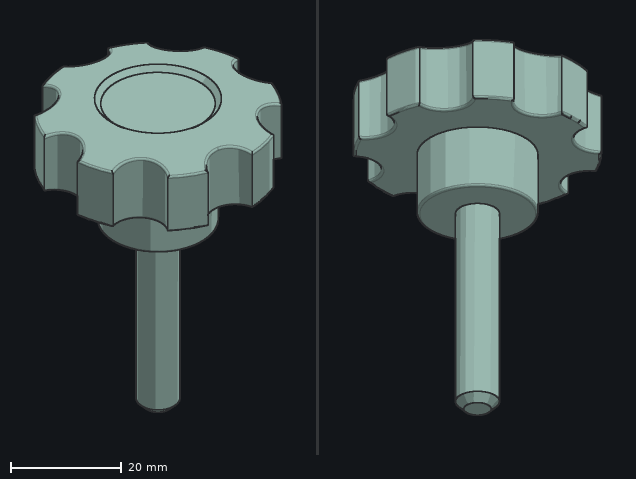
import cadquery as cq
import math

total_height = 66.2
shaft_length = 40.0
hub_length = 12.0
crown_drop = 2.3

shaft_diameter = 8.0
shaft_tip_chamfer = 1.5
hub_diameter = 22.0

head_radius = 22.5
edge_rounding = 0.45

scallop_count = 8
scallop_radius = 5.2
scallop_center_radius = 23.5

recess_rim_radius = 11.5
recess_floor_radius = 10.4
recess_depth = 1.05

head_bottom = shaft_length + hub_length
rim_height = total_height - crown_drop


def make_head():
    """Scalloped head with a domed top, rounded along its upper and lower outlines."""
    dome_center = (
        total_height**2 + recess_rim_radius**2 - rim_height**2 - head_radius**2
    ) / (2 * crown_drop)
    dome_radius = math.hypot(head_radius, rim_height - dome_center)
    apex_height = dome_center + dome_radius

    head = (
        cq.Workplane("XZ")
        .moveTo(0, head_bottom)
        .lineTo(head_radius, head_bottom)
        .lineTo(head_radius, rim_height)
        .radiusArc((0, apex_height), -dome_radius)
        .close()
        .revolve(360, (0, 0, 0), (0, 1, 0))
    )
    scallops = (
        cq.Workplane("XY", origin=(0, 0, head_bottom))
        .polarArray(scallop_center_radius, 0, 360, scallop_count)
        .circle(scallop_radius)
        .extrude(apex_height - head_bottom)
    )
    head = head.cut(scallops)
    return head.faces("<Z or >Z").edges().fillet(edge_rounding)


def make_recess():
    """Cone with its floor inside the head and its rim on the dome."""
    floor_height = total_height - recess_depth
    wall_slope = (recess_rim_radius - recess_floor_radius) / recess_depth
    cutter_height = 2 * recess_depth + crown_drop
    cutter_top_radius = recess_floor_radius + wall_slope * cutter_height
    return cq.Workplane(
        cq.Solid.makeCone(
            recess_floor_radius, cutter_top_radius, cutter_height, cq.Vector(0, 0, floor_height)
        )
    )


def make_hub():
    hub = cq.Workplane("XY", origin=(0, 0, shaft_length)).circle(hub_diameter / 2).extrude(hub_length)
    return hub.faces("<Z").edges().fillet(edge_rounding)


def make_shaft():
    shaft = cq.Workplane("XY").circle(shaft_diameter / 2).extrude(shaft_length)
    return shaft.faces("<Z").edges().chamfer(shaft_tip_chamfer)


result = make_head().cut(make_recess()).union(make_hub()).union(make_shaft())